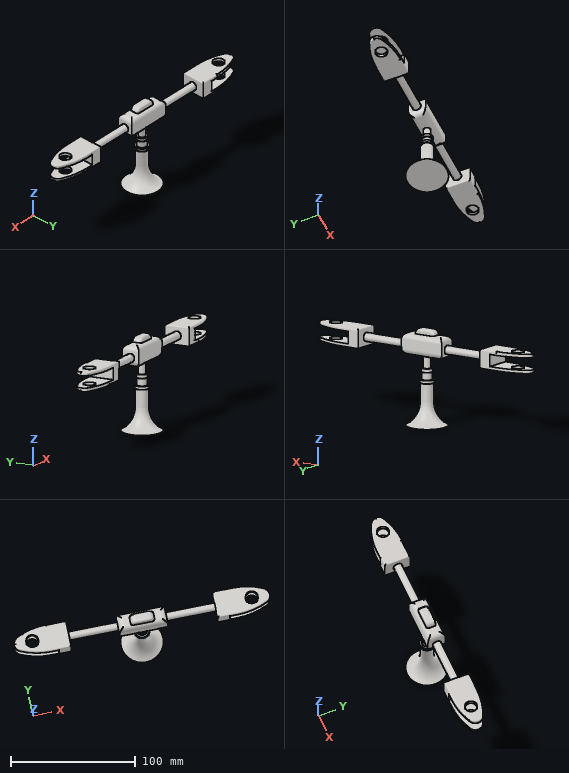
import cadquery as cq
import math


overall_length = 210.3
rod_diameter = 7.4
clevis_length = 45.0
clevis_width = 22.3
clevis_height = 16.5
clevis_edge_radius = 1.3
slot_height = 10.0
slot_depth = 35.0
taper_length = 28.4
taper_radius = 58.9
pin_diameter = 10.0
pin_from_tip = 15.0

body_length = 40.0
body_width = 15.4
body_height = 18.3
body_bottom = -7.8
body_edge_radius = 5.0
grip_length = 19.8
grip_width = 8.5
grip_rise = 4.6
grip_end_radius = 5.0
grip_side_radius = 2.0

foot_bottom = -64.8
foot_diameter = 35.0
foot_height = 20.0
sleeve_diameter = 11.1
sleeve_height = 15.1
lower_collar_diameter = 12.5
lower_collar_height = 2.7
neck_diameter = 8.6
neck_height = 6.3
upper_collar_diameter = 9.9
upper_collar_height = 3.2
stem_diameter = 6.3

body_top = body_bottom + body_height


def clevis_outline():
    """Plan of the left clevis: square at the back, tapering along arcs to a round nose."""
    tip_x = -overall_length / 2
    back_x = tip_x + clevis_length
    taper_x = tip_x + taper_length
    half_width = clevis_width / 2
    taper_drop = taper_radius - half_width

    nose_radius = (taper_length**2 + taper_drop**2 - taper_radius**2) / (2 * (taper_length - taper_radius))
    nose_x = tip_x + nose_radius
    blend_angle = math.atan2(taper_drop, taper_x - nose_x)
    blend_x = nose_x - nose_radius * math.cos(blend_angle)
    blend_y = nose_radius * math.sin(blend_angle)
    mid_angle = (blend_angle + math.pi / 2) / 2
    mid_x = taper_x - taper_radius * math.cos(mid_angle)
    mid_y = taper_radius * math.sin(mid_angle) - taper_drop

    return (
        cq.Workplane("XY", origin=(0, 0, -clevis_height / 2))
        .moveTo(back_x, -half_width)
        .lineTo(back_x, half_width)
        .lineTo(taper_x, half_width)
        .threePointArc((mid_x, mid_y), (blend_x, blend_y))
        .threePointArc((tip_x, 0), (blend_x, -blend_y))
        .threePointArc((mid_x, -mid_y), (taper_x, -half_width))
        .close()
    )


def make_clevis(sharp_quarters):
    """Left clevis with rounded outer rims, a fork slot and a pin hole through both arms.

    Each (y_side, z_side) pair in sharp_quarters names a tapered rim that stays sharp up to the tip.
    """
    tip_x = -overall_length / 2
    plain_block = clevis_outline().extrude(clevis_height)
    block = plain_block.faces("<Z or >Z").edges().fillet(clevis_edge_radius)
    for y_side, z_side in sharp_quarters:
        quarter = (
            cq.Workplane("XY")
            .box(taper_length, clevis_width, clevis_height)
            .translate((tip_x + taper_length / 2, y_side * clevis_width / 2, z_side * clevis_height / 2))
        )
        block = block.union(plain_block.intersect(quarter))

    slot = cq.Workplane("XY").box(2 * slot_depth, 2 * clevis_width, slot_height).translate((tip_x, 0, 0))
    pin_hole = (
        cq.Workplane("XY")
        .center(tip_x + pin_from_tip, 0)
        .circle(pin_diameter / 2)
        .extrude(clevis_height, both=True)
    )
    return block.cut(slot).cut(pin_hole)


def make_rod():
    """Rod reaching from the back of one clevis to the back of the other."""
    half_length = overall_length / 2 - clevis_length
    return cq.Workplane("YZ").circle(rod_diameter / 2).extrude(half_length, both=True)


def make_body():
    """Block with rounded top and bottom rims and sharp upright corners."""
    block = (
        cq.Workplane("XY", origin=(0, 0, body_bottom))
        .rect(body_length, body_width)
        .extrude(body_height)
    )
    return block.faces("<Z or >Z").edges().fillet(body_edge_radius)


def make_grip():
    """Rounded grip rising from inside the body through its top."""
    grip = (
        cq.Workplane("XY", origin=(0, 0, body_top - body_edge_radius))
        .rect(grip_length, grip_width)
        .extrude(body_edge_radius + grip_rise)
    )
    grip = grip.edges("|Y and >Z").fillet(grip_end_radius)
    side_rims = grip.faces("<Y or >Y").edges("not <Z")
    return side_rims.fillet(grip_side_radius)


def make_stand():
    """Flared foot turned about Z, with the stepped sleeve and stem above it."""
    foot_radius = foot_diameter / 2
    sleeve_radius = sleeve_diameter / 2
    foot_top = foot_bottom + foot_height

    flare_reach = foot_radius - sleeve_radius
    flare_radius = (flare_reach**2 + foot_height**2) / (2 * flare_reach)
    half_sweep = math.asin(foot_height / flare_radius) / 2
    flare_middle = (
        sleeve_radius + flare_radius * (1 - math.cos(half_sweep)),
        foot_top - flare_radius * math.sin(half_sweep),
    )
    stand = (
        cq.Workplane("XZ")
        .moveTo(0, foot_bottom)
        .lineTo(foot_radius, foot_bottom)
        .threePointArc(flare_middle, (sleeve_radius, foot_top))
        .lineTo(0, foot_top)
        .close()
        .revolve(360, (0, 0, 0), (0, 1, 0))
    )

    steps = [
        (sleeve_diameter, sleeve_height),
        (lower_collar_diameter, lower_collar_height),
        (neck_diameter, neck_height),
        (upper_collar_diameter, upper_collar_height),
    ]
    level = foot_top
    for diameter, height in steps:
        step = cq.Workplane("XY", origin=(0, 0, level)).circle(diameter / 2).extrude(height)
        stand = stand.union(step)
        level += height

    stem = cq.Workplane("XY", origin=(0, 0, level)).circle(stem_diameter / 2).extrude(-level)
    return stand.union(stem)


left_clevis = make_clevis(sharp_quarters=[(1, 1), (-1, -1)])
right_clevis = make_clevis(sharp_quarters=[(-1, -1)]).mirror("YZ")

result = (
    make_body()
    .union(make_grip())
    .union(make_rod())
    .union(left_clevis)
    .union(right_clevis)
    .union(make_stand())
)